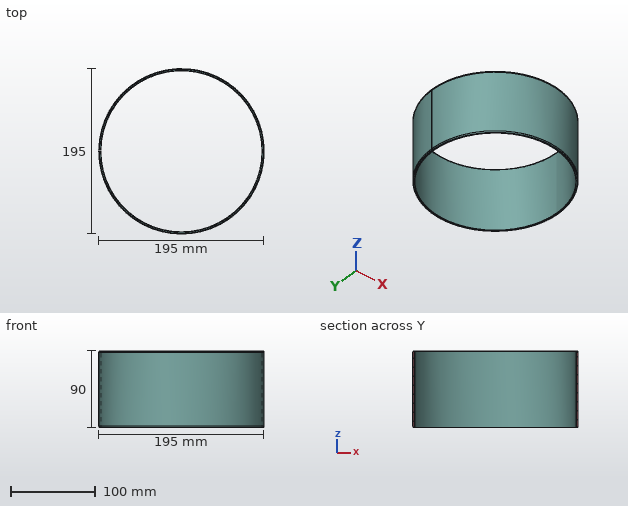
import cadquery as cq

outer_diameter = 195.0
height = 90.0
wall = 2.5
outer_chamfer_height = 1.8
outer_chamfer_width = 0.65
inner_chamfer = 0.4
slit_width = 1.7

outer_radius = outer_diameter / 2
inner_radius = outer_radius - wall


def ring_body():
    """Thin ring on Z = 0, its rims chamfered steeply outside and at 45 degrees inside."""
    outer_rim_radius = outer_radius - outer_chamfer_width
    inner_rim_radius = inner_radius + inner_chamfer
    wall_section = (
        cq.Workplane("XZ")
        .moveTo(inner_rim_radius, 0)
        .lineTo(outer_rim_radius, 0)
        .lineTo(outer_radius, outer_chamfer_height)
        .lineTo(outer_radius, height - outer_chamfer_height)
        .lineTo(outer_rim_radius, height)
        .lineTo(inner_rim_radius, height)
        .lineTo(inner_radius, height - inner_chamfer)
        .lineTo(inner_radius, inner_chamfer)
        .close()
    )
    return wall_section.revolve(360, (0, 0, 0), (0, 1, 0))


def slit_cutter():
    """Full-height block through the -X wall, with one face on the Y = 0 plane."""
    block = cq.Workplane("XY").box(outer_radius, slit_width, height, centered=False)
    return block.translate((-outer_radius, 0, 0))


result = ring_body().cut(slit_cutter())